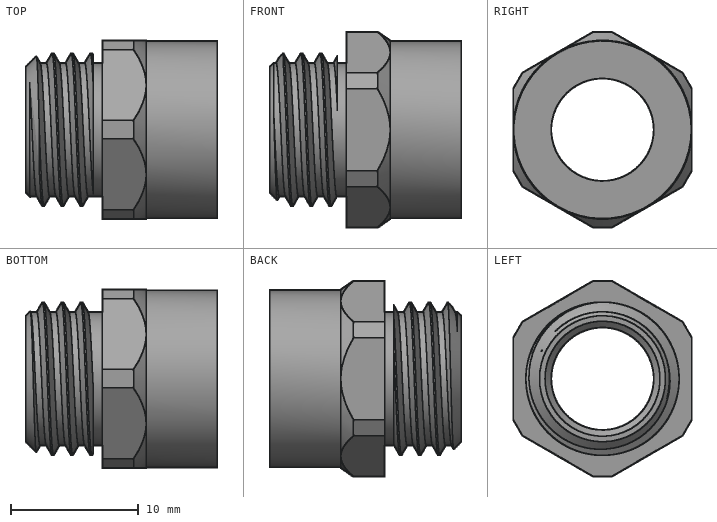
import cadquery as cq
import math


total_length = 15.0
hex_start = 6.0
hex_length = 3.43
hex_end = hex_start + hex_length

sleeve_radius = 13.9 / 2
bore_radius = 8.0 / 2
bore_chamfer = 0.5

hex_across_flats = 14.0
hex_across_trimmed_corners = 15.33
hex_chamfer_angle = 35.0
hex_chamfer_end_radius = hex_across_flats / 2

thread_pitch = 1.5
crest_radius = 12.0 / 2
root_radius = 10.48 / 2
crest_width = 0.13
flank_angle = 30.0
thread_end = 5.3
tip_radius = 4.93
crest_at_bottom = 1.75
extra_turns_before_tip = 2
thread_turns = 5
overlap = 0.1


def revolve_about_x(points):
    """Solid of revolution about X from (x, radius) points."""
    return cq.Workplane("XY").polyline(points).close().revolve(360, (0, 0, 0), (1, 0, 0))


def corner_distance(across_flats):
    """Distance across the sharp corners of a regular hexagon."""
    return across_flats / math.cos(math.radians(30))


def hexagon(across_flats, turn):
    """Hexagonal bar along X, turned by the given angle from having a corner at +Y."""
    across_corners = corner_distance(across_flats)
    bar = cq.Workplane("YZ").workplane(offset=hex_start).polygon(6, across_corners).extrude(hex_length)
    return bar.rotate((0, 0, 0), (1, 0, 0), turn)


def make_hex():
    """Hexagon with trimmed corners and a conical chamfer on its sleeve side."""
    corner_radius = corner_distance(hex_across_flats) / 2
    chamfer_height = corner_radius - hex_chamfer_end_radius
    chamfer_length = chamfer_height / math.tan(math.radians(hex_chamfer_angle))
    envelope = revolve_about_x([
        (hex_start, 0),
        (hex_start, corner_radius),
        (hex_end - chamfer_length, corner_radius),
        (hex_end, hex_chamfer_end_radius),
        (hex_end, 0),
    ])
    trimmed = hexagon(hex_across_flats, 30).intersect(hexagon(hex_across_trimmed_corners, 0))
    return trimmed.intersect(envelope)


def make_core():
    """Thread core with its 45 degree tip chamfer."""
    return revolve_about_x([
        (0, 0),
        (0, tip_radius),
        (root_radius - tip_radius, root_radius),
        (hex_start, root_radius),
        (hex_start, 0),
    ])


def make_thread():
    """Helical ridge, cut by the tip cone at one end and by a flat plane at the other."""
    inner_radius = root_radius - overlap
    half_crest = crest_width / 2
    half_base = half_crest + (crest_radius - inner_radius) * math.tan(math.radians(flank_angle))
    helix = cq.Wire.makeHelix(thread_pitch, thread_turns * thread_pitch, crest_radius)
    profile = cq.Workplane("XZ").polyline([
        (inner_radius, -half_base),
        (crest_radius, -half_crest),
        (crest_radius, half_crest),
        (inner_radius, half_base),
    ]).close()
    ridge = profile.sweep(cq.Workplane(helix), isFrenet=True)
    ridge = ridge.rotate((0, 0, 0), (0, 1, 0), 90)
    ridge = ridge.translate((crest_at_bottom - extra_turns_before_tip * thread_pitch, 0, 0))
    limit_radius = crest_radius + overlap
    limits = revolve_about_x([
        (0, 0),
        (0, tip_radius),
        (limit_radius - tip_radius, limit_radius),
        (thread_end, limit_radius),
        (thread_end, 0),
    ])
    return ridge.intersect(limits)


def make_sleeve():
    """Plain cylinder behind the hexagon."""
    length = total_length - hex_end
    return cq.Workplane("YZ").workplane(offset=hex_end).circle(sleeve_radius).extrude(length)


def make_bore():
    """Through bore with a 45 degree chamfer at the thread tip."""
    return revolve_about_x([
        (0, 0),
        (0, bore_radius + bore_chamfer),
        (bore_chamfer, bore_radius),
        (total_length, bore_radius),
        (total_length, 0),
    ])


body = make_core().union(make_thread()).union(make_hex()).union(make_sleeve())
result = body.cut(make_bore())